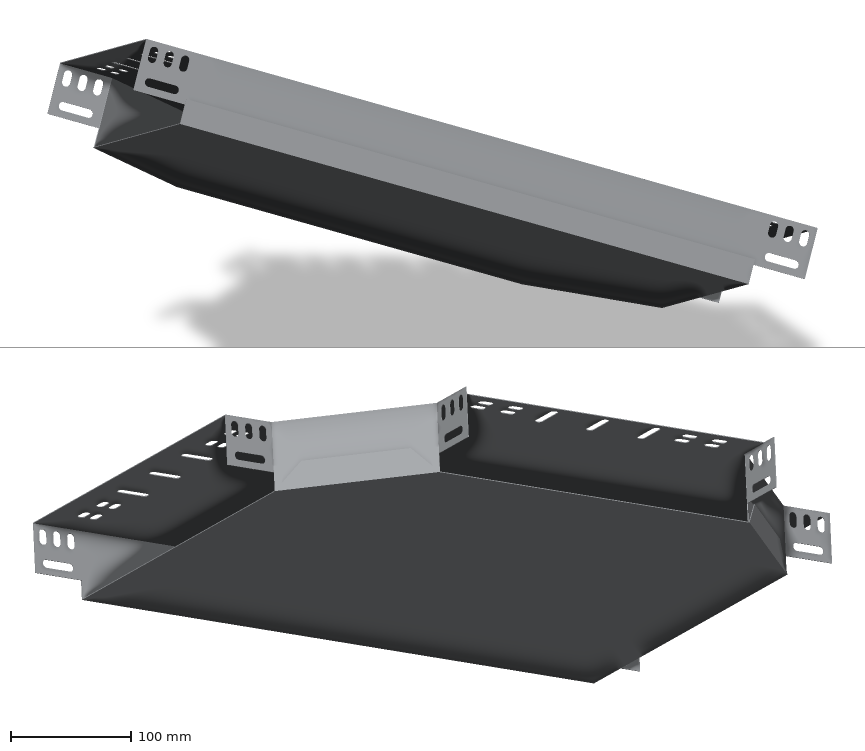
import cadquery as cq
import math


sheet = 0.7
run_length = 593.0
run_width = 301.5
tab_length = 45.5
branch_reach = 99.5
branch_setback = 15.0
tray_depth = 60.0
tab_depth = 44.0
long_lip_height = 21.5
corner_lip_height = 24.0
corner_lip_taper = corner_lip_height

slot_width = 7.0
short_slot = 14.0
long_slot = 30.0
long_slot_row = 35.0
pair_row = 33.5
long_slot_pitch = 50.0
pair_gap = 12.0
pair_offsets = (85.5, 114.5)
tab_slot_pitch = 14.0
tab_short_row = 11.5
tab_long_row = 34.5
cutter_reach = 4 * sheet

roll = -29.0
pitch = 19.2
yaw = 61.2

half_run = run_length / 2
half_body = half_run - tab_length
branch_half = half_body - branch_reach
branch_corner = run_width + branch_reach
branch_end = branch_corner + tab_length
floor_end = branch_end - branch_setback
diagonal = branch_reach * math.sqrt(2)
diagonal_angle = 135

ORIGIN = (0, 0, 0)
X_AXIS = (1, 0, 0)
Y_AXIS = (0, 1, 0)
Z_AXIS = (0, 0, 1)


def mirrored(shape):
    """The shape together with its mirror image across the middle of the branch."""
    return shape + shape.mirror("YZ")


def turned(shape, angle, place):
    """The shape turned about Z and then moved to a place."""
    return shape.rotate(ORIGIN, Z_AXIS, angle).translate(place)


def wall(outline):
    """An upright sheet with its outer face on Y = 0 and its thickness toward +Y."""
    return cq.Workplane("XZ").polyline(outline).close().extrude(-sheet)


def rectangular_wall(length, depth):
    return wall([(0, 0), (length, 0), (length, -depth), (0, -depth)])


def floor_slots(length, angle, centres):
    """Cutters for equal slots through the tray floor."""
    slots = cq.Workplane("XY").pushPoints(centres).slot2D(length, slot_width, angle)
    return slots.extrude(cutter_reach, both=True)


def end_perforation():
    """Cutters for one tray end that faces +Y with its tab ends on Y = 0."""
    long_centres = [(column * long_slot_pitch, -long_slot_row) for column in (-1, 0, 1)]
    pair_centres = [
        (side * offset, row * pair_gap / 2 - pair_row)
        for offset in pair_offsets
        for side in (-1, 1)
        for row in (-1, 1)
    ]
    return floor_slots(long_slot, 90, long_centres) + floor_slots(short_slot, 0, pair_centres)


def tray_floor():
    half_outline = [
        (0, 0),
        (half_run, 0),
        (half_run, run_width),
        (half_body, run_width),
        (branch_half, branch_corner),
        (branch_half, floor_end),
        (0, floor_end),
    ]
    floor = mirrored(cq.Workplane("XY").polyline(half_outline).close().extrude(-sheet))
    slots = end_perforation()
    floor -= turned(slots, -90, (half_run, run_width / 2, 0))
    floor -= turned(slots, 90, (-half_run, run_width / 2, 0))
    floor -= slots.translate((0, branch_end, 0))
    return floor


def tab():
    """Joining tab with three short upright slots over one long slot."""
    middle = tab_length / 2
    short_centres = [(middle + step * tab_slot_pitch, -tab_short_row) for step in (-1, 0, 1)]
    long_centre = [(middle, -tab_long_row)]
    slots = floor_slots(short_slot, 90, short_centres) + floor_slots(long_slot, 0, long_centre)
    return rectangular_wall(tab_length, tab_depth) - slots.rotate(ORIGIN, X_AXIS, 90)


def tray():
    long_wall = rectangular_wall(half_body, tray_depth)
    corner_wall = rectangular_wall(diagonal, tray_depth)
    half_walls = (
        long_wall
        + tab().translate((half_body, 0, 0))
        + turned(tab(), 180, (half_run, run_width, 0))
        + turned(corner_wall, diagonal_angle, (half_body, run_width, 0))
        + turned(tab(), 90, (branch_half, branch_corner, 0))
    )
    return tray_floor() + mirrored(half_walls)


def lip(length, height, taper):
    """Cover lip against the outside of a tray wall, narrowing upward at both ends by the taper."""
    foot = -tray_depth - sheet
    top = foot + height
    outline = [(0, foot), (length, foot), (length - taper, top), (taper, top)]
    return wall(outline).translate((0, -sheet, 0))


def cover():
    half_outline = [
        (0, 0),
        (half_body, 0),
        (half_body, run_width),
        (branch_half, branch_corner),
        (0, branch_corner),
    ]
    half_panel = cq.Workplane("XY").polyline(half_outline).close().extrude(-sheet)
    panel = mirrored(half_panel.translate((0, 0, -tray_depth)))
    long_lip = lip(2 * half_body, long_lip_height, 0).translate((-half_body, 0, 0))
    corner_lip = lip(diagonal, corner_lip_height, corner_lip_taper)
    corner_lip = turned(corner_lip, diagonal_angle, (half_body, run_width, 0))
    return panel + long_lip + mirrored(corner_lip)


def tilted(shape):
    """The shape brought from its building position into its final attitude."""
    for axis, angle in ((X_AXIS, roll), (Y_AXIS, pitch), (Z_AXIS, yaw)):
        shape = shape.rotate(ORIGIN, axis, angle)
    return shape


tray_body = tilted(tray())
cover_body = tilted(cover())

result = cq.Compound.makeCompound([tray_body.val(), cover_body.val()])